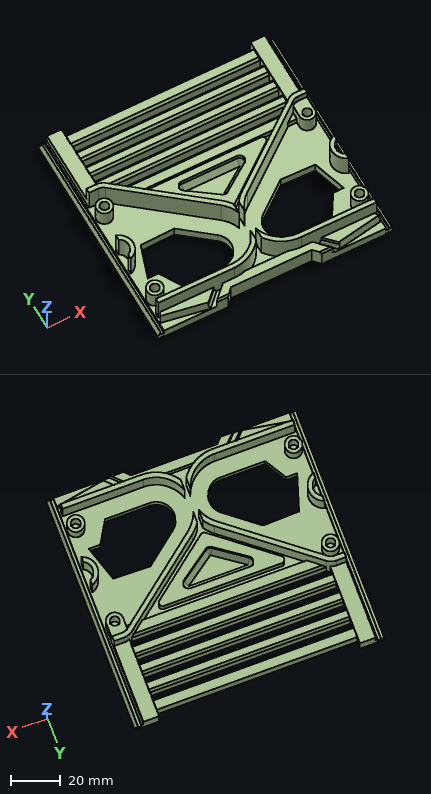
import cadquery as cq
import math

WIDTH = 107.6
DEPTH = 101.0
HEIGHT = 16.6
HALF = WIDTH / 2
FLOOR_Z = 4.8
RAIL_Z = 8.8
BAR_Z = 7.6
BOSS_Z = 13.0

PLATE_X = 50.8
LIP_X = 52.2
LIP_TOP_Z = 4.4
GROOVE_Z = 3.1
UNDERCUT_Z = 0.4
TIP_CHAMFER = 1.1
SIDE_X = 49.9

RAIL_INNER_X = 43.1
BAR_COUNT = 5
BAR_PITCH = 8.0
BAR_WIDTH = 5.2
BAR_CHAMFER = 1.1
FIRST_BAR_BACK_Y = 97.9
LAST_BAR_BACK_Y = FIRST_BAR_BACK_Y - (BAR_COUNT - 1) * BAR_PITCH

NOSE_X = -15.3
NOSE_Y = 23.3
NOSE_RADIUS = 14.8
WALL = 2.2
SLANT = math.radians(38.4)
WALL_TOP_Y = 65.2
BEND_RADIUS = 4.3
PASSAGE = 2.4

CUTOUT_RADIUS = 7.7
CUTOUT_BACK_Y = 40.4

BOSS_FRONT_X = 46.8
BOSS_BACK_X = 46.4
BOSS_FRONT_Y = 15.2
BOSS_BACK_Y = 58.7
BOSS_DIAMETER = 7.2
SCREW_DIAMETER = 4.0

POST_X = 52.0
POST_Y = 36.2
POST_RADIUS = 6.6
POST_BORE_RADIUS = 4.5

PLATEAU_Z = 9.8
PLATEAU_ROUND = 1.5
POCKET_ROUND = 2.3
POCKET_SLOPE_HEIGHT = 2.9

BLOCK_BACK_Y = 7.2
RECESS_Y = 3.1
RECESS_X = 18.5
RECESS_MOUTH_X = 21.4
BLOCK_END_X = 26.8
BLOCK_CHAMFER = 0.81
WEDGE_CORNER = (-50.4, 3.9)
WEDGE_WALL_X = -48.6
WEDGE_TIP = (-29.6, 0.27)
WEDGE_DRAFT = 12.0
WEDGE_END_X = -31.0
WEDGE_END_RUN = 1.0
WEDGE_STEP_Z = 7.1


def box(x0, x1, y0, y1, z0, z1):
    return cq.Workplane("XY").box(x1 - x0, y1 - y0, z1 - z0, centered=False).translate((x0, y0, z0))


def mirrored(body):
    return body.union(body.mirror("YZ"))


def slanted(radius, along=0.0):
    """Point on the slanted side that is tangent to a nose of this radius."""
    x = NOSE_X + radius * math.sin(SLANT) - along * math.cos(SLANT)
    y = NOSE_Y + radius * math.cos(SLANT) + along * math.sin(SLANT)
    return x, y


def nose_middle(radius):
    """Middle point of the nose arc between the front side and the slanted side."""
    angle = -SLANT / 2
    return NOSE_X + radius * math.cos(angle), NOSE_Y + radius * math.sin(angle)


def compartment(offset, z0, z1):
    """Left compartment outline, grown outward by offset."""
    radius = NOSE_RADIUS + offset
    bend = BEND_RADIUS + offset
    bend_y = WALL_TOP_Y - BEND_RADIUS
    along = (bend_y - slanted(radius - bend)[1]) / math.sin(SLANT)
    bend_x = slanted(radius - bend, along)[0]
    bend_angle = math.pi / 2 - SLANT / 2
    bend_middle = (bend_x + bend * math.cos(bend_angle), bend_y + bend * math.sin(bend_angle))
    return (
        cq.Workplane("XY", origin=(0, 0, z0))
        .moveTo(-SIDE_X, NOSE_Y - radius)
        .lineTo(NOSE_X, NOSE_Y - radius)
        .threePointArc(nose_middle(radius), slanted(radius))
        .lineTo(*slanted(radius, along))
        .threePointArc(bend_middle, (bend_x, bend_y + bend))
        .lineTo(-SIDE_X, bend_y + bend)
        .close()
        .extrude(z1 - z0)
    )


def base_plate():
    half_profile = [
        (0, 0),
        (PLATE_X, 0),
        (PLATE_X, UNDERCUT_Z),
        (LIP_X, UNDERCUT_Z),
        (LIP_X, 0),
        (HALF - TIP_CHAMFER, 0),
        (HALF, TIP_CHAMFER),
        (HALF, LIP_TOP_Z - (HALF - LIP_X)),
        (LIP_X, LIP_TOP_Z),
        (LIP_X, GROOVE_Z),
        (PLATE_X, GROOVE_Z),
        (PLATE_X, FLOOR_Z),
        (0, FLOOR_Z),
    ]
    half = cq.Workplane("XZ").polyline(half_profile).close().extrude(-DEPTH)
    opening = box(-RAIL_INNER_X, RAIL_INNER_X, LAST_BAR_BACK_Y - BAR_CHAMFER, DEPTH, 0, FLOOR_Z)
    return mirrored(half).cut(opening)


def grille():
    bars = cq.Workplane("XY")
    for index in range(BAR_COUNT):
        back_y = FIRST_BAR_BACK_Y - index * BAR_PITCH
        bar = box(-RAIL_INNER_X, RAIL_INNER_X, back_y - BAR_WIDTH, back_y, 0, BAR_Z)
        if index > 0:
            bar = bar.edges(">Y and >Z").chamfer(BAR_CHAMFER)
        if index < BAR_COUNT - 1:
            bar = bar.edges("<Y and >Z").chamfer(BAR_CHAMFER)
        bars = bars.union(bar)
    return bars.cut(compartment(0, FLOOR_Z, HEIGHT))


def rails():
    return mirrored(box(-SIDE_X, -RAIL_INNER_X, WALL_TOP_Y + WALL / 2, DEPTH, 0, RAIL_Z))


def walls():
    band = compartment(WALL, 0, HEIGHT).cut(compartment(0, 0, HEIGHT))
    passage = box(-PASSAGE / 2, HALF, 0, DEPTH, 0, HEIGHT)
    return mirrored(band.cut(passage))


def cutouts():
    left = (
        cq.Workplane("XY")
        .moveTo(-34.4, NOSE_Y - CUTOUT_RADIUS)
        .lineTo(NOSE_X, NOSE_Y - CUTOUT_RADIUS)
        .threePointArc(nose_middle(CUTOUT_RADIUS), slanted(CUTOUT_RADIUS))
        .lineTo(*slanted(CUTOUT_RADIUS, (CUTOUT_BACK_Y - slanted(CUTOUT_RADIUS)[1]) / math.sin(SLANT)))
        .lineTo(-39.9, 39.9)
        .lineTo(-44.8, 24.9)
        .lineTo(-39.9, 24.9)
        .close()
        .extrude(FLOOR_Z)
    )
    return mirrored(left)


def boss_points():
    left = [(-BOSS_FRONT_X, BOSS_FRONT_Y), (-BOSS_BACK_X, BOSS_BACK_Y)]
    return left + [(-x, y) for x, y in left]


def bosses():
    pins = cq.Workplane("XY").pushPoints(boss_points()).circle(BOSS_DIAMETER / 2).extrude(BOSS_Z)
    radius = BOSS_DIAMETER / 2
    tie = box(BOSS_BACK_X - radius, SIDE_X, BOSS_BACK_Y, WALL_TOP_Y + WALL / 2, 0, BOSS_Z)
    return pins.union(tie)


def screw_holes():
    return (
        cq.Workplane("XY", origin=(0, 0, FLOOR_Z))
        .pushPoints(boss_points())
        .circle(SCREW_DIAMETER / 2)
        .extrude(HEIGHT - FLOOR_Z)
    )


def side_posts():
    post = (
        cq.Workplane("XY", origin=(0, 0, FLOOR_Z))
        .center(-POST_X, POST_Y)
        .circle(POST_RADIUS)
        .circle(POST_BORE_RADIUS)
        .extrude(HEIGHT - FLOOR_Z)
    )
    return mirrored(post.intersect(box(-SIDE_X, 0, 0, DEPTH, 0, HEIGHT)))


def rounded_triangle(half_width, back_y, front_y, radius, z):
    """Triangle pointing to the front, grown outward by radius with round corners."""
    corners = [(-half_width, back_y), (half_width, back_y), (0, front_y)]
    return cq.Workplane("XY", origin=(0, 0, z)).polyline(corners).close().offset2D(radius, "arc")


def plateau():
    body = rounded_triangle(25.4, 57.5, 37.4, PLATEAU_ROUND, 0).extrude(PLATEAU_Z)
    pocket = (12.7, 53.6, 44.5)
    step_z = FLOOR_Z + POCKET_SLOPE_HEIGHT
    upper = rounded_triangle(*pocket, POCKET_ROUND, step_z).extrude(PLATEAU_Z - step_z)
    draft = math.degrees(math.atan2(POCKET_ROUND * 0.99, POCKET_SLOPE_HEIGHT))
    lower = rounded_triangle(*pocket, POCKET_ROUND, step_z).extrude(-POCKET_SLOPE_HEIGHT, taper=draft)
    return body.cut(upper).cut(lower)


def front_block():
    back_x = BLOCK_END_X - BLOCK_BACK_Y
    outline = [
        (-BLOCK_END_X, 0),
        (-RECESS_MOUTH_X, 0),
        (-RECESS_X, RECESS_Y),
        (RECESS_X, RECESS_Y),
        (RECESS_MOUTH_X, 0),
        (BLOCK_END_X, 0),
        (back_x, BLOCK_BACK_Y),
        (-back_x, BLOCK_BACK_Y),
    ]
    block = cq.Workplane("XY").polyline(outline).close().extrude(RAIL_Z)
    block = block.faces("<Y").edges(">Z").chamfer(BLOCK_CHAMFER)
    return block.cut(compartment(WALL / 2, 0, HEIGHT)).cut(compartment(WALL / 2, 0, HEIGHT).mirror("YZ"))


def front_recess():
    outline = [(-RECESS_MOUTH_X, 0), (-RECESS_X, RECESS_Y), (RECESS_X, RECESS_Y), (RECESS_MOUTH_X, 0)]
    return cq.Workplane("XY").polyline(outline).close().extrude(HEIGHT)


def corner_wedges():
    wall_y = NOSE_Y - NOSE_RADIUS - WALL / 2
    outline = [WEDGE_CORNER, WEDGE_TIP, (0, WEDGE_TIP[1]), (0, wall_y), (WEDGE_WALL_X, wall_y)]
    wedge = cq.Workplane("XY").polyline(outline).close().extrude(RAIL_Z)
    run_x = WEDGE_TIP[0] - WEDGE_CORNER[0]
    run_y = WEDGE_TIP[1] - WEDGE_CORNER[1]
    rise = RAIL_Z - FLOOR_Z
    lean = rise * math.tan(math.radians(WEDGE_DRAFT))
    front_plane = cq.Plane(origin=(*WEDGE_CORNER, FLOOR_Z), xDir=(-run_y, run_x, 0), normal=(run_x, run_y, 0))
    front_gap = cq.Workplane(front_plane).polyline([(0, 0), (lean, rise), (0, rise)]).close()
    wedge = wedge.cut(front_gap.extrude(HALF, both=True))
    end_profile = [
        (0, HEIGHT),
        (0, WEDGE_STEP_Z),
        (WEDGE_END_RUN, FLOOR_Z),
        (WEDGE_END_RUN, 0),
        (HALF, 0),
        (HALF, HEIGHT),
    ]
    end_plane = cq.Plane(origin=(WEDGE_END_X, 0, 0), xDir=(1, -1, 0), normal=(-1, -1, 0))
    wedge = wedge.cut(cq.Workplane(end_plane).polyline(end_profile).close().extrude(HALF, both=True))
    return mirrored(wedge)


result = base_plate().cut(cutouts()).cut(front_recess())
for part in (grille(), rails(), walls(), bosses(), side_posts(), plateau(), front_block(), corner_wedges()):
    result = result.union(part)
result = result.cut(screw_holes())